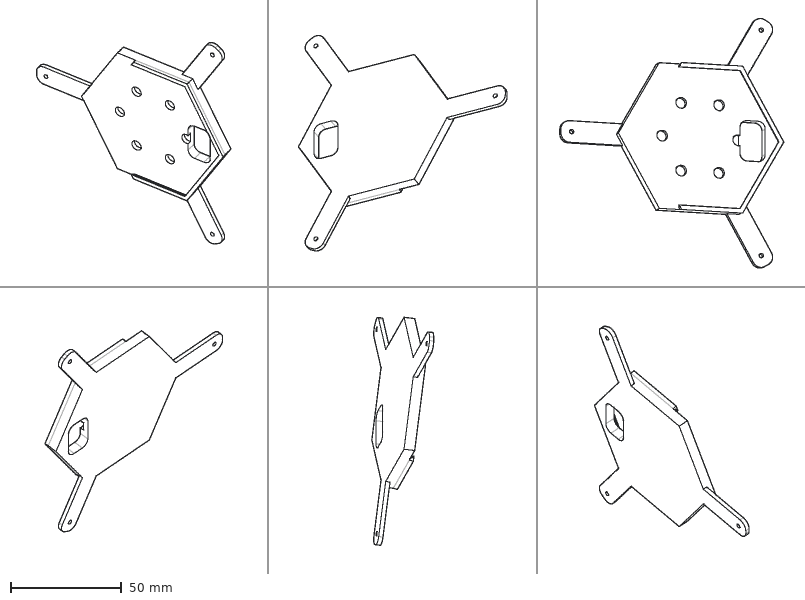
import cadquery as cq
import math

PLATE_RADIUS = 38.8
PLATE_THICKNESS = 5.0
HEX_SIDES = 6

TOTAL_DEPTH = 7.0
LIP_RADIUS = 39.1
LIP_BASE_WALL = 1.4
LIP_TIP_WALL = 2.1
LIP_TIP_HEIGHT = 0.7
LIP_START_X = -9.4
END_ANGLE = 60

ARM_REACH = 65.0
ARM_WIDTH = 10.0
ARM_THICKNESS = 2.1
ARM_CORNER_RADIUS = 4.0
ARM_HOLE_REACH = 60.0
ARM_HOLE_DIAMETER = 2.0
ARM_ANGLES = (60, 180, 300)

RING_RADIUS = 18.0
RING_HOLE_DIAMETER = 4.9
RING_HOLE_COUNT = 6
RING_HOLE_DEPTH = 2.1
WINDOW_CENTER_X = 24.9
WINDOW_WIDTH = 11.9
WINDOW_HEIGHT = 18.6
WINDOW_CORNER_RADIUS = 3.4

LIP_HEIGHT = TOTAL_DEPTH - PLATE_THICKNESS
LIP_APOTHEM = LIP_RADIUS * math.cos(math.pi / HEX_SIDES)


def sketch_plane(depth=0):
    """XZ sketch plane at the given depth in front of the back face; extrudes toward -Y."""
    return cq.Workplane("XZ", origin=(0, -depth, 0))


def hexagon(radius, depth, height, taper=0):
    """Hexagonal prism with corners on the X axis."""
    return sketch_plane(depth).polygon(HEX_SIDES, 2 * radius).extrude(height, taper=taper)


def inset_radius(wall):
    """Corner radius of the lip's inner hexagon for a given wall thickness."""
    return (LIP_APOTHEM - wall) / math.cos(math.pi / HEX_SIDES)


def make_arm(angle):
    arm = (
        sketch_plane()
        .rect(ARM_REACH, ARM_WIDTH)
        .extrude(ARM_THICKNESS)
        .translate((ARM_REACH / 2, 0, 0))
        .edges("|Y and >X")
        .fillet(ARM_CORNER_RADIUS)
    )
    hole = sketch_plane().center(ARM_HOLE_REACH, 0).circle(ARM_HOLE_DIAMETER / 2).extrude(ARM_THICKNESS)
    return arm.cut(hole).rotate((0, 0, 0), (0, -1, 0), angle)


def make_lip():
    plate_apothem = PLATE_RADIUS * math.cos(math.pi / HEX_SIDES)
    flare_angle = math.degrees(math.atan((LIP_APOTHEM - plate_apothem) / LIP_HEIGHT))
    ring = hexagon(PLATE_RADIUS, PLATE_THICKNESS, LIP_HEIGHT, taper=-flare_angle)
    ring = ring.cut(hexagon(inset_radius(LIP_BASE_WALL), PLATE_THICKNESS, LIP_HEIGHT - LIP_TIP_HEIGHT))
    ring = ring.cut(hexagon(inset_radius(LIP_TIP_WALL), PLATE_THICKNESS, LIP_HEIGHT))

    wedge_tip_x = LIP_START_X - LIP_APOTHEM / math.tan(math.radians(END_ANGLE))
    kept_side = (
        sketch_plane(PLATE_THICKNESS)
        .polyline([
            (wedge_tip_x, 0),
            (LIP_START_X, LIP_APOTHEM),
            (LIP_RADIUS, LIP_APOTHEM),
            (LIP_RADIUS, -LIP_APOTHEM),
            (LIP_START_X, -LIP_APOTHEM),
        ])
        .close()
        .extrude(LIP_HEIGHT)
    )
    return ring.intersect(kept_side)


def make_openings():
    holes = (
        sketch_plane(PLATE_THICKNESS - RING_HOLE_DEPTH)
        .polarArray(RING_RADIUS, 0, 360, RING_HOLE_COUNT)
        .circle(RING_HOLE_DIAMETER / 2)
        .extrude(RING_HOLE_DEPTH)
    )
    window = (
        sketch_plane()
        .center(WINDOW_CENTER_X, 0)
        .rect(WINDOW_WIDTH, WINDOW_HEIGHT)
        .extrude(PLATE_THICKNESS)
        .edges("|Y")
        .fillet(WINDOW_CORNER_RADIUS)
    )
    return holes.union(window)


body = hexagon(PLATE_RADIUS, 0, PLATE_THICKNESS)
for arm_angle in ARM_ANGLES:
    body = body.union(make_arm(arm_angle))
body = body.union(make_lip())
result = body.cut(make_openings())